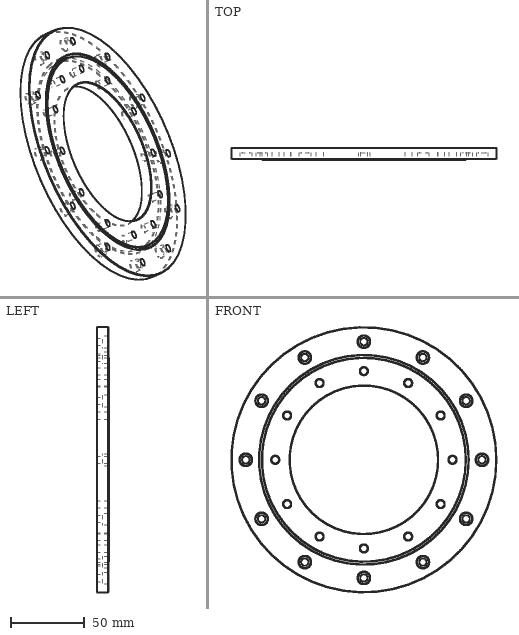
import cadquery as cq

outer_diameter = 180.0
total_thickness = 8.5
front_step = 0.5
edge_chamfer = 0.5

back_y = total_thickness / 2
inner_front_y = -total_thickness / 2
outer_front_y = inner_front_y + front_step

outer_ring_bore = 141.5
outer_hole_circle = 160.0
outer_hole_diameter = 4.9
counterbore_diameter = 8.0
counterbore_depth = 4.3
counterbore_chamfer = 0.5

ring_gap = 1.5
inner_ring_diameter = outer_ring_bore - 2 * ring_gap
inner_ring_bore = 100.0
inner_hole_circle = 120.0
inner_hole_diameter = 4.9
inner_hole_chamfer = 0.5

holes_per_ring = 12


def disc(diameter, start_y, end_y):
    """Cylinder about the Y axis between two Y positions."""
    return cq.Workplane("XZ", origin=(0, start_y, 0)).circle(diameter / 2).extrude(start_y - end_y)


def ring_blank(outside, bore, front_y):
    """Plain flat ring from its front face to the shared back face."""
    return disc(outside, front_y, back_y).cut(disc(bore, front_y, back_y))


def front_hole_pattern(front_y, circle_diameter):
    """Workplane on a ring's front face with a point at each bolt hole."""
    return (
        cq.Workplane("XZ", origin=(0, front_y, 0))
        .polarArray(circle_diameter / 2, 0, 360, holes_per_ring)
    )


def hole_cutters(front_y, circle_diameter, hole_diameter, depth):
    """Straight round cutters going back from a ring's front face."""
    return front_hole_pattern(front_y, circle_diameter).circle(hole_diameter / 2).extrude(-depth)


def chamfer_cutters(front_y, circle_diameter, hole_diameter, chamfer):
    """45 degree countersink cutters for the mouths of a ring's front holes."""
    cone = cq.Solid.makeCone(
        hole_diameter / 2 + chamfer, hole_diameter / 2, chamfer, dir=cq.Vector(0, 0, -1)
    )
    return front_hole_pattern(front_y, circle_diameter).eachpoint(cone, useLocalCoordinates=True)


def make_outer_ring():
    """Outer ring with chamfered rims and counterbored bolt holes."""
    ring = ring_blank(outer_diameter, outer_ring_bore, outer_front_y)
    ring = ring.edges().chamfer(edge_chamfer)
    ring = ring.cut(hole_cutters(outer_front_y, outer_hole_circle, outer_hole_diameter, total_thickness))
    ring = ring.cut(hole_cutters(outer_front_y, outer_hole_circle, counterbore_diameter, counterbore_depth))
    return ring.cut(
        chamfer_cutters(outer_front_y, outer_hole_circle, counterbore_diameter, counterbore_chamfer)
    )


def make_inner_ring():
    """Inner ring with chamfered rims and chamfered through holes."""
    ring = ring_blank(inner_ring_diameter, inner_ring_bore, inner_front_y)
    ring = ring.edges().chamfer(edge_chamfer)
    ring = ring.cut(hole_cutters(inner_front_y, inner_hole_circle, inner_hole_diameter, total_thickness))
    return ring.cut(
        chamfer_cutters(inner_front_y, inner_hole_circle, inner_hole_diameter, inner_hole_chamfer)
    )


outer_ring = make_outer_ring()
inner_ring = make_inner_ring()

result = cq.Compound.makeCompound([outer_ring.val(), inner_ring.val()])